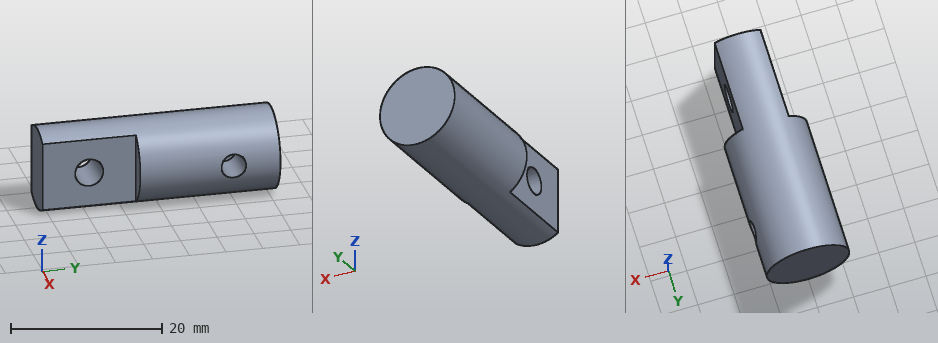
import cadquery as cq

length = 31.75
diameter = 11.43
radius = diameter / 2

tongue_length = 12.7
tongue_thickness = 6.35
cross_hole_diameter = 3.8

side_hole_diameter = 3.33
side_hole_from_end = 6.35
side_hole_depth = radius

front_y = -length / 2
back_y = length / 2
tongue_middle_y = front_y + tongue_length / 2


def tongue_side_cut(side):
    """Block that removes one side of the cylinder beside the tongue (side is -1 or +1)."""
    cut_depth = radius - tongue_thickness / 2
    cut_x = side * (tongue_thickness + cut_depth) / 2
    return cq.Workplane("XY").box(cut_depth, tongue_length, diameter).translate((cut_x, tongue_middle_y, 0))


def hole_along_x(hole_diameter, y, start_x, end_x):
    """Cylinder along +X for cutting a hole at height zero."""
    return (
        cq.Workplane("YZ", origin=(start_x, y, 0))
        .circle(hole_diameter / 2)
        .extrude(end_x - start_x)
    )


body = cq.Workplane("XZ", origin=(0, back_y, 0)).circle(radius).extrude(length)

for side in (-1, 1):
    body = body.cut(tongue_side_cut(side))

cross_hole = hole_along_x(cross_hole_diameter, tongue_middle_y, -radius, radius)
side_hole = hole_along_x(side_hole_diameter, back_y - side_hole_from_end, radius - side_hole_depth, radius)

result = body.cut(cross_hole).cut(side_hole)